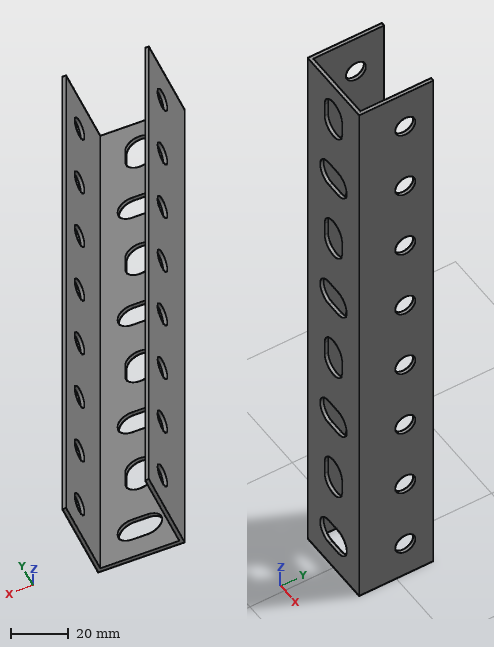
import cadquery as cq

width = 33.0
depth = 30.7
length = 242.0
wall = 1.5

station_count = 8
pitch = 30.0
slot_length = 17.0
slot_width = 11.1
hole_diameter = 8.2
hole_to_free_edge = 11.5
first_station_offset = 15.5

front_face = -depth / 2
first_station = -length / 2 + first_station_offset
stations = [first_station + i * pitch for i in range(station_count)]


def channel():
    """U section with its web at -Y and its open side at +Y."""
    outer = cq.Workplane("XY").box(width, depth, length)
    inside = (
        cq.Workplane("XY")
        .box(width - 2 * wall, depth, length)
        .translate((0, wall, 0))
    )
    return outer.cut(inside)


def web_slot(height, angle):
    """Cutter for one slot through the web; 0 degrees lies along X, 90 along Z."""
    return (
        cq.Workplane("XZ", origin=(0, front_face + wall, height))
        .slot2D(slot_length, slot_width, angle)
        .extrude(2 * wall)
    )


def flange_holes():
    """Cutter for the row of round holes through both flanges."""
    hole_y = depth / 2 - hole_to_free_edge
    return (
        cq.Workplane("YZ")
        .pushPoints([(hole_y, height) for height in stations])
        .circle(hole_diameter / 2)
        .extrude(width, both=True)
    )


result = channel().cut(flange_holes())

for index, station in enumerate(stations):
    slot_angle = 0 if index % 2 == 0 else 90
    result = result.cut(web_slot(station, slot_angle))